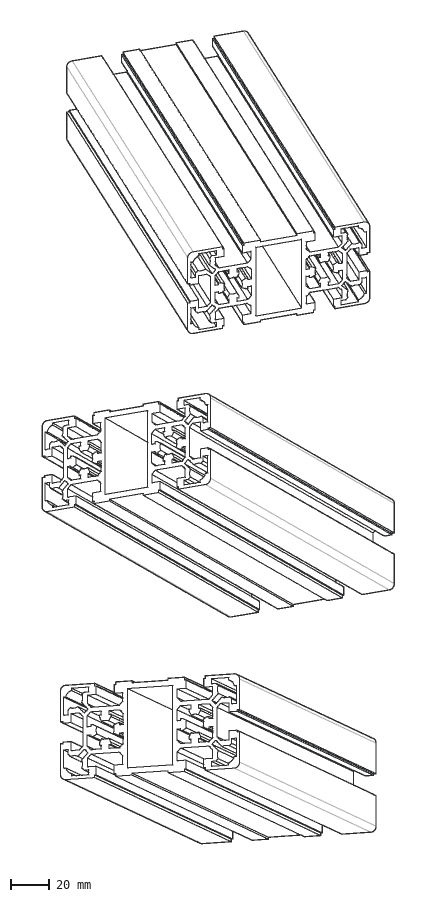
import cadquery as cq
import math

length = 200.0
width = 100.0
height = 50.0
corner_radius = 3.0

cell_half = height / 2
cell_center = width / 2 - cell_half
wall = 2.5

slot_half = 5.0
slot_inner_half = 9.8
slot_floor = 12.5
lip_depth = 6.0
mouth_half = 5.8
mouth_depth = 1.5
slot_chamfer = 2.0
lip_bottom = cell_half - lip_depth

core_half = slot_floor - wall
core_chamfer = 2.0
bore_radius = 5.0
tooth_neck_half = 2.2
tooth_head_half = 3.2
tooth_shoulder = 6.8
tooth_back = 8.0
tooth_tip_half = 2.0

outer_wall = 1.8
lip_block_half = 9.2
ledge = 20.5
ledge_length = 2.5
neck_half = 1.0
neck_end = 10.5
channel_center = 17.5
channel_radius = 4.8
shelf = 18.8

chamber_half_width = 12.5
chamber_half_height = 21.0
recess_half_width = 10.0
recess_depth = 1.0


def prism(points):
    """Full-length prism over a closed outline in cell coordinates (Y, Z)."""
    return cq.Workplane("YZ").polyline(points).close().extrude(length)


def mirrored(half_outline):
    """Close a half outline, given for positive Y, by mirroring it about the Z axis."""
    return half_outline + [(-y, z) for y, z in reversed(half_outline)]


def turned(body, angle):
    """Turn a body about the X axis."""
    return body.rotate((0, 0, 0), (1, 0, 0), angle)


def t_slot():
    """Stepped-mouth T-slot in the top face of a cell."""
    return prism(mirrored([
        (mouth_half, cell_half),
        (mouth_half, cell_half - mouth_depth),
        (slot_half, cell_half - mouth_depth),
        (slot_half, lip_bottom),
        (slot_inner_half, lip_bottom),
        (slot_inner_half, slot_floor + slot_chamfer),
        (slot_inner_half - slot_chamfer, slot_floor),
    ]))


def tooth():
    """Tooth hanging from the top of the screw core; the bore hollows its tip."""
    tip = math.sqrt(bore_radius ** 2 - tooth_tip_half ** 2)
    return (
        cq.Workplane("YZ")
        .moveTo(-tooth_tip_half, tip)
        .lineTo(-tooth_head_half, tooth_shoulder)
        .lineTo(-tooth_head_half, tooth_back)
        .lineTo(-tooth_neck_half, tooth_back)
        .lineTo(-tooth_neck_half, core_half)
        .lineTo(tooth_neck_half, core_half)
        .lineTo(tooth_neck_half, tooth_back)
        .lineTo(tooth_head_half, tooth_back)
        .lineTo(tooth_head_half, tooth_shoulder)
        .lineTo(tooth_tip_half, tip)
        .threePointArc((0, bore_radius), (-tooth_tip_half, tip))
        .close()
        .extrude(length)
    )


def screw_core():
    """Core opening, less the four teeth that grip a screw."""
    core = (
        cq.Workplane("YZ")
        .rect(2 * core_half, 2 * core_half)
        .extrude(length)
        .edges("|X")
        .chamfer(core_chamfer)
    )
    for angle in (0, 90, 180, 270):
        core = core.cut(turned(tooth(), angle))
    return core


def corner_chamber():
    """Chamber in the +Y +Z corner of a cell, symmetric about the cell diagonal."""
    wall_face = cell_half - outer_wall
    ledge_end = lip_block_half + ledge_length
    slope_length = ledge - channel_center
    upper_side = [
        (neck_end - neck_half, neck_end + neck_half),
        (channel_center - neck_half, channel_center + neck_half),
        (ledge_end + slope_length, channel_center),
        (ledge_end, ledge),
        (lip_block_half, ledge),
        (lip_block_half, wall_face),
        (shelf, wall_face),
        (shelf, shelf),
    ]
    pocket = prism(upper_side + [(z, y) for y, z in reversed(upper_side[:-1])])
    channel = (
        cq.Workplane("YZ")
        .center(channel_center, channel_center)
        .circle(channel_radius)
        .extrude(length)
    )
    return pocket.union(channel)


def cell_voids():
    """Everything removed from the +Y cell, before moving it into place."""
    voids = screw_core()
    for angle in (0, -90, 180):
        voids = voids.union(turned(t_slot(), angle))
    for angle in (0, -90):
        voids = voids.union(turned(corner_chamber(), angle))
    return voids.translate((0, cell_center, 0))


def cover_recess():
    """Shallow recess in the top face, over the middle chamber."""
    return (
        cq.Workplane("YZ")
        .center(0, cell_half - recess_depth / 2)
        .rect(2 * recess_half_width, recess_depth)
        .extrude(length)
    )


body = (
    cq.Workplane("YZ")
    .rect(width, height)
    .extrude(length)
    .edges("|X")
    .fillet(corner_radius)
)
middle_chamber = (
    cq.Workplane("YZ")
    .rect(2 * chamber_half_width, 2 * chamber_half_height)
    .extrude(length)
)
body = body.cut(middle_chamber)

positive_cell_voids = cell_voids()
top_recess = cover_recess()
for angle in (0, 180):
    body = body.cut(turned(positive_cell_voids, angle))
    body = body.cut(turned(top_recess, angle))

result = body